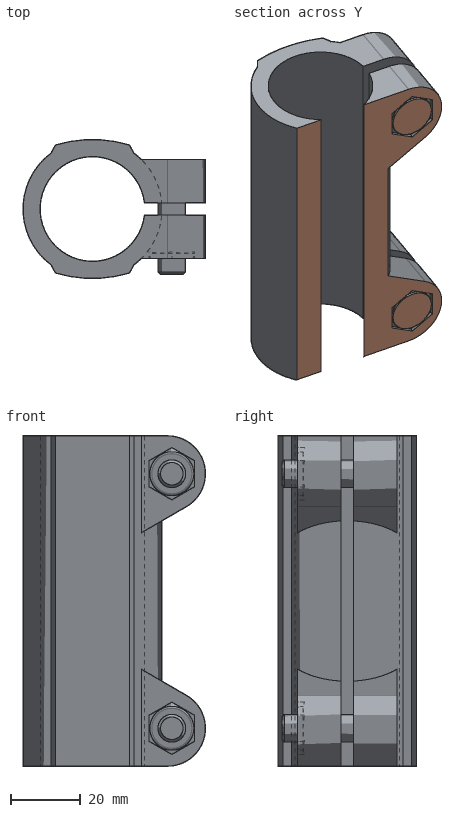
import cadquery as cq
import math

LENGTH = 95.0
TUBE_DIAMETER = 40.0
TUBE_RADIUS = TUBE_DIAMETER / 2
BORE_RADIUS = 15.0
SLOT_WIDTH = 3.5

PAD_HALF_WIDTH = 10.6
PAD_EDGE_Y = 18.4
PAD_CREST_Y = TUBE_RADIUS
PAD_FOOT_X = 12.0
PAD_FOOT_Y = math.sqrt(TUBE_RADIUS**2 - PAD_FOOT_X**2)

LUG_HALF_DEPTH = 14.25
LUG_RADIUS = 10.9
LUG_TIP_X = 32.5
LUG_SLOPE = math.radians(30)
LUG_ARC_X = LUG_TIP_X - LUG_RADIUS
LUG_ARC_Z = LENGTH / 2 - LUG_RADIUS

BOLT_DIAMETER = 8.0
BOLT_X = 22.8
BOLT_Z = LUG_ARC_Z
BOLT_PROJECTION = 4.6
BOLT_CHAMFER = 0.8

NUT_FLATS = 13.0
NUT_CORNERS = NUT_FLATS / math.cos(math.radians(30))
NUT_HEIGHT = 7.6
COLLAR_DIAMETER = 12.6
COLLAR_HEIGHT = 1.5
COLLAR_FILLET = 0.6
NUT_CHAMFER_ANGLE = math.radians(20)


def make_pad():
    """Full-length pad on the +Y side with a shallow crown and slanted flanks."""
    return (
        cq.Workplane("XY", origin=(0, 0, -LENGTH / 2))
        .moveTo(-PAD_FOOT_X, PAD_FOOT_Y)
        .lineTo(-PAD_HALF_WIDTH, PAD_EDGE_Y)
        .threePointArc((0, PAD_CREST_Y), (PAD_HALF_WIDTH, PAD_EDGE_Y))
        .lineTo(PAD_FOOT_X, PAD_FOOT_Y)
        .close()
        .extrude(LENGTH)
    )


def make_lug():
    """Top lug: flat top, round nose, and a lower edge sloping tangentially back to the tube."""
    tangent_x = LUG_ARC_X + LUG_RADIUS * math.sin(LUG_SLOPE)
    tangent_z = LUG_ARC_Z - LUG_RADIUS * math.cos(LUG_SLOPE)
    root_z = tangent_z - tangent_x * math.tan(LUG_SLOPE)
    return (
        cq.Workplane("XZ", origin=(0, LUG_HALF_DEPTH, 0))
        .moveTo(0, LENGTH / 2)
        .lineTo(LUG_ARC_X, LENGTH / 2)
        .threePointArc((LUG_TIP_X, LUG_ARC_Z), (tangent_x, tangent_z))
        .lineTo(0, root_z)
        .close()
        .extrude(2 * LUG_HALF_DEPTH)
    )


def bolt_plane(y):
    """Sketch plane on the top bolt axis, facing -Y."""
    return cq.Workplane("XZ", origin=(BOLT_X, y, BOLT_Z))


def make_nut_pocket():
    """Hexagonal recess with two corners pointing along Z."""
    return (
        bolt_plane(-LUG_HALF_DEPTH + NUT_HEIGHT)
        .transformed(rotate=(0, 0, 90))
        .polygon(6, NUT_CORNERS)
        .extrude(NUT_HEIGHT)
    )


def make_nut():
    """Hexagon with conically chamfered corners below a round-edged collar."""
    collar_radius = COLLAR_DIAMETER / 2
    corner_radius = NUT_CORNERS / 2
    corner_drop = (corner_radius - collar_radius) * math.tan(NUT_CHAMFER_ANGLE)
    shoulder = NUT_HEIGHT - COLLAR_HEIGHT
    envelope = (
        cq.Workplane("XY")
        .polyline([
            (0, 0),
            (corner_radius, 0),
            (corner_radius, shoulder - corner_drop),
            (collar_radius, shoulder),
            (collar_radius, NUT_HEIGHT),
            (0, NUT_HEIGHT),
        ])
        .close()
        .revolve(360, (0, 0, 0), (0, 1, 0))
        .faces(">Y")
        .edges()
        .fillet(COLLAR_FILLET)
        .rotate((0, 0, 0), (0, 0, 1), 180)
        .translate((BOLT_X, -LUG_HALF_DEPTH + NUT_HEIGHT, BOLT_Z))
    )
    return make_nut_pocket().intersect(envelope)


def make_bolt():
    """Bolt shank from the +Y lug face to its chamfered end beyond the nut."""
    return (
        bolt_plane(LUG_HALF_DEPTH)
        .circle(BOLT_DIAMETER / 2)
        .extrude(2 * LUG_HALF_DEPTH + BOLT_PROJECTION)
        .faces("<Y")
        .chamfer(BOLT_CHAMFER)
    )


def with_mirror(shape, plane):
    """The shape together with its mirror image in a plane through the origin."""
    return shape.union(shape.mirror(plane))


body = cq.Workplane("XY").circle(TUBE_RADIUS).extrude(LENGTH / 2, both=True)
body = body.union(with_mirror(make_pad(), "XZ"))
body = body.union(with_mirror(make_lug(), "XY"))
body = body.cut(cq.Workplane("XY").circle(BORE_RADIUS).extrude(LENGTH / 2, both=True))

slot = cq.Workplane("XY").box(LUG_TIP_X, SLOT_WIDTH, LENGTH, centered=(False, True, True))
body = body.cut(slot)

body = body.cut(with_mirror(make_nut_pocket(), "XY"))
fasteners = with_mirror(make_nut().union(make_bolt()), "XY")
result = body.union(fasteners)